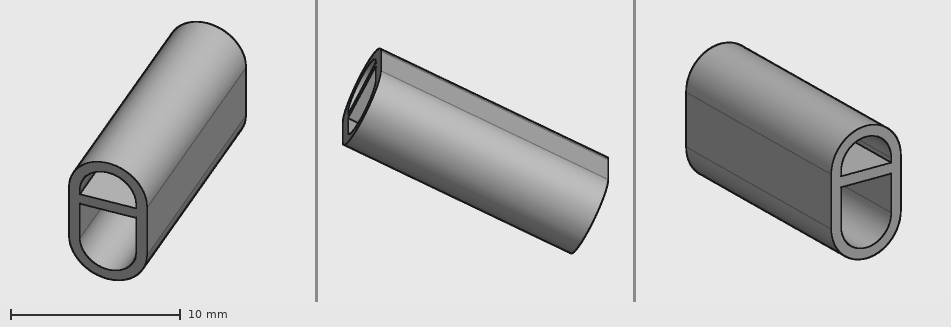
import cadquery as cq

width = 5.0
length = 15.0
height = 8.5
wall = 0.7
divider_bottom = 5.0

bore_width = width - 2 * wall
bore_height = height - 2 * wall
divider_center_z = divider_bottom + wall / 2 - height / 2


def slot_prism(slot_height, slot_width):
    """Upright round-ended bar along Y, centred on the origin."""
    return (
        cq.Workplane("XZ")
        .slot2D(slot_height, slot_width, angle=90)
        .extrude(length / 2, both=True)
    )


def divider():
    """Horizontal web splitting the bore into two channels."""
    web_width = width - wall
    return cq.Workplane("XY").box(web_width, length, wall).translate((0, 0, divider_center_z))


tube = slot_prism(height, width).cut(slot_prism(bore_height, bore_width))
result = tube.union(divider())